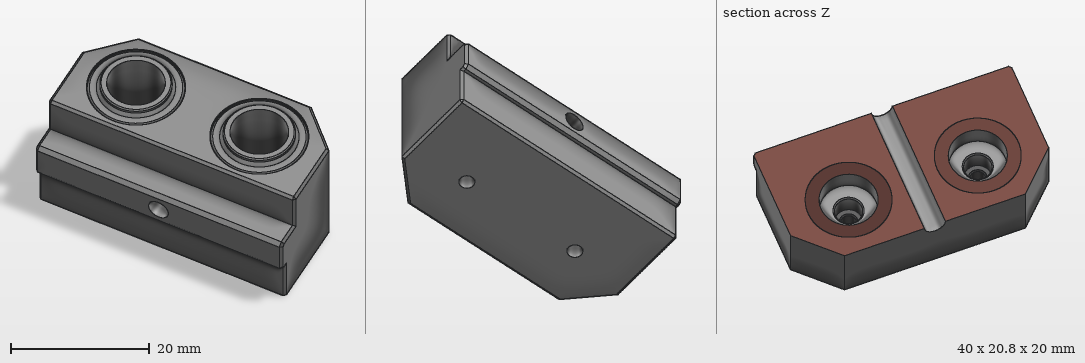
import cadquery as cq

LENGTH = 40.0
DEPTH = 20.75
BLOCK_TOP = 19.0
BACK_Y = DEPTH / 2
FRONT_Y = -DEPTH / 2
RAIL_TOP = 12.95
RAIL_BOTTOM = 7.05
UPPER_SETBACK = 4.1
LOWER_SETBACK = 1.1
CORNER_CUT = 6.0
RAIL_CHAMFER = 0.6
EDGE_CHAMFER = 0.4

CROSS_HOLE_DIAMETER = 3.2
CROSS_HOLE_Z = (RAIL_TOP + RAIL_BOTTOM) / 2

BUSHING_SPACING = 20.0
BUSHING_TO_BACK = 8.5
BUSHING_Y = BACK_Y - BUSHING_TO_BACK
BUSHING_XS = (-BUSHING_SPACING / 2, BUSHING_SPACING / 2)

TOTAL_HEIGHT = 20.0
BORE_DIAMETER = 8.45
SLEEVE_DIAMETER = 12.45
FLANGE_DIAMETER = 14.1
SEAT_MOUTH_DIAMETER = 14.3
SEAT_CHAMFER = (SEAT_MOUTH_DIAMETER - FLANGE_DIAMETER) / 2
COLLAR_DIAMETER = 10.45
CONE_BASE_DIAMETER = 11.45
FLANGE_TOP = 18.9
FLANGE_THICKNESS = 2.0
FLANGE_CHAMFER = 0.3
CONE_TOP = FLANGE_TOP + (CONE_BASE_DIAMETER - COLLAR_DIAMETER) / 2
COLLAR_CHAMFER = 0.2
SLEEVE_LENGTH = 12.0
SLEEVE_BOTTOM = FLANGE_TOP - SLEEVE_LENGTH

PORT_DIAMETER = 4.1
PORT_DEPTH = 3.2
PORT_FLOOR = SLEEVE_BOTTOM - PORT_DEPTH
OUTLET_DIAMETER = 2.3
PORT_CHAMFER = 0.2


def make_blank():
    """Block with the front rail, cut back corners and chamfered edges."""
    upper_y = FRONT_Y + UPPER_SETBACK
    lower_y = FRONT_Y + LOWER_SETBACK
    side_profile = [
        (BACK_Y, 0),
        (lower_y, 0),
        (lower_y, RAIL_BOTTOM),
        (FRONT_Y + RAIL_CHAMFER, RAIL_BOTTOM),
        (FRONT_Y, RAIL_BOTTOM + RAIL_CHAMFER),
        (FRONT_Y, RAIL_TOP - RAIL_CHAMFER),
        (FRONT_Y + RAIL_CHAMFER, RAIL_TOP),
        (upper_y, RAIL_TOP),
        (upper_y, BLOCK_TOP),
        (BACK_Y, BLOCK_TOP),
    ]
    blank = cq.Workplane("YZ").polyline(side_profile).close().extrude(LENGTH / 2, both=True)
    blank = blank.edges("|Z and >Y").chamfer(CORNER_CUT)
    end_and_cap_edges = blank.faces("<X or >X or <Z or >Z").edges()
    return end_and_cap_edges.filter(is_chamfered).chamfer(EDGE_CHAMFER)


def is_chamfered(edge):
    """True for all edges but the upright ones at the start of the corner cuts."""
    middle = edge.Center()
    is_upright = edge.BoundingBox().zlen > EDGE_CHAMFER
    return not (is_upright and middle.y > BUSHING_Y)


def disc(x, diameter, bottom, top):
    """Upright cylinder on a bushing axis."""
    base = cq.Workplane("XY", origin=(x, BUSHING_Y, bottom))
    return base.circle(diameter / 2).extrude(top - bottom)


def funnel(x, diameter, chamfer, top):
    """Chamfer cutter for the mouth of a hole."""
    base = cq.Workplane("XY", origin=(x, BUSHING_Y, top - chamfer))
    small = base.circle(diameter / 2)
    return small.workplane(offset=chamfer).circle(diameter / 2 + chamfer).loft()


def cut_bushing_seat(block, x):
    """Stepped pocket for one bushing, with the port and outlet under it."""
    block = block.cut(disc(x, FLANGE_DIAMETER, FLANGE_TOP - FLANGE_THICKNESS, BLOCK_TOP))
    block = block.cut(funnel(x, FLANGE_DIAMETER, SEAT_CHAMFER, BLOCK_TOP))
    block = block.cut(disc(x, SLEEVE_DIAMETER, SLEEVE_BOTTOM, BLOCK_TOP))
    block = block.cut(disc(x, PORT_DIAMETER, PORT_FLOOR, SLEEVE_BOTTOM))
    block = block.cut(funnel(x, PORT_DIAMETER, PORT_CHAMFER, SLEEVE_BOTTOM))
    block = block.cut(disc(x, OUTLET_DIAMETER, 0, PORT_FLOOR))
    return block.cut(funnel(x, OUTLET_DIAMETER, PORT_CHAMFER, PORT_FLOOR))


def make_block():
    """Finished block with its cross hole and both bushing seats."""
    block = make_blank()
    cross_hole = (
        cq.Workplane("XZ", origin=(0, 0, CROSS_HOLE_Z))
        .circle(CROSS_HOLE_DIAMETER / 2)
        .extrude(DEPTH, both=True)
    )
    block = block.cut(cross_hole)
    for x in BUSHING_XS:
        block = cut_bushing_seat(block, x)
    return block


def make_bushing(x):
    """Flanged sleeve turned about its own upright axis."""
    half_section = [
        (BORE_DIAMETER / 2, SLEEVE_BOTTOM),
        (SLEEVE_DIAMETER / 2, SLEEVE_BOTTOM),
        (SLEEVE_DIAMETER / 2, FLANGE_TOP - FLANGE_THICKNESS),
        (FLANGE_DIAMETER / 2, FLANGE_TOP - FLANGE_THICKNESS),
        (FLANGE_DIAMETER / 2, FLANGE_TOP - FLANGE_CHAMFER),
        (FLANGE_DIAMETER / 2 - FLANGE_CHAMFER, FLANGE_TOP),
        (CONE_BASE_DIAMETER / 2, FLANGE_TOP),
        (COLLAR_DIAMETER / 2, CONE_TOP),
        (COLLAR_DIAMETER / 2, TOTAL_HEIGHT - COLLAR_CHAMFER),
        (COLLAR_DIAMETER / 2 - COLLAR_CHAMFER, TOTAL_HEIGHT),
        (BORE_DIAMETER / 2, TOTAL_HEIGHT),
    ]
    section = cq.Workplane("XZ").polyline(half_section).close()
    turned = section.revolve(360, (0, 0, 0), (0, 1, 0))
    return turned.translate((x, BUSHING_Y, 0))


block = make_block()
bushings = [make_bushing(x) for x in BUSHING_XS]

result = cq.Compound.makeCompound([block.val(), *(bushing.val() for bushing in bushings)])